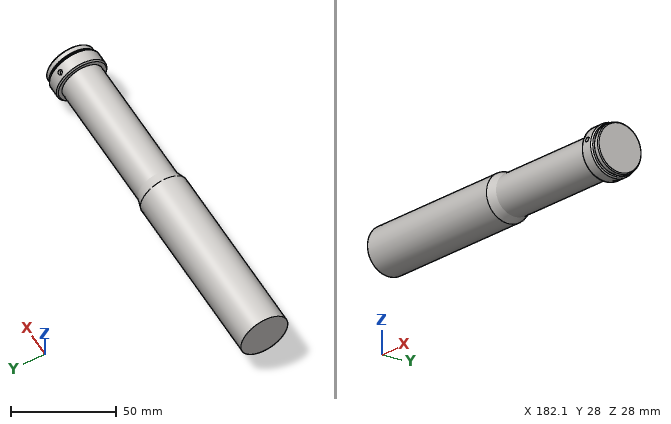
import cadquery as cq

total_length = 182.1
grip_length = 94.0
taper_length = 5.5
collar_start = 170.0
collar_width = 8.0
end_disc_width = 3.0

grip_diameter = 26.0
stem_diameter = 22.5
collar_diameter = 28.0
groove_diameter = 24.4
end_disc_diameter = 26.0

collar_chamfer = 0.7
end_disc_chamfer = 0.5

screw_hole_diameter = 2.5
screw_hole_depth = 1.8
screw_hole_count = 3
first_hole_angle = 45.0

taper_end = grip_length + taper_length
collar_end = collar_start + collar_width
collar_middle = collar_start + collar_width / 2
end_disc_start = total_length - end_disc_width
grip_radius = grip_diameter / 2
stem_radius = stem_diameter / 2
collar_radius = collar_diameter / 2
groove_radius = groove_diameter / 2
end_disc_radius = end_disc_diameter / 2


def turned_body():
    """Grip, taper, stem, collar, groove and end disc revolved about the X axis."""
    profile = [
        (0, 0),
        (0, grip_radius),
        (grip_length, grip_radius),
        (taper_end, stem_radius),
        (collar_start, stem_radius),
        (collar_start, collar_radius - collar_chamfer),
        (collar_start + collar_chamfer, collar_radius),
        (collar_end - collar_chamfer, collar_radius),
        (collar_end, collar_radius - collar_chamfer),
        (collar_end, groove_radius),
        (end_disc_start, groove_radius),
        (end_disc_start, end_disc_radius),
        (total_length - end_disc_chamfer, end_disc_radius),
        (total_length, end_disc_radius - end_disc_chamfer),
        (total_length, 0),
    ]
    return cq.Workplane("XZ").polyline(profile).close().revolve(360, (0, 0), (1, 0))


def screw_hole(angle):
    """Cutter for one blind radial hole, reaching past the collar surface."""
    floor_radius = collar_radius - screw_hole_depth
    cutter = (
        cq.Workplane("XZ", origin=(collar_middle, floor_radius, 0))
        .circle(screw_hole_diameter / 2)
        .extrude(-2 * screw_hole_depth)
    )
    return cutter.rotate((0, 0, 0), (1, 0, 0), angle)


result = turned_body()
for index in range(screw_hole_count):
    result = result.cut(screw_hole(first_hole_angle + index * 360 / screw_hole_count))